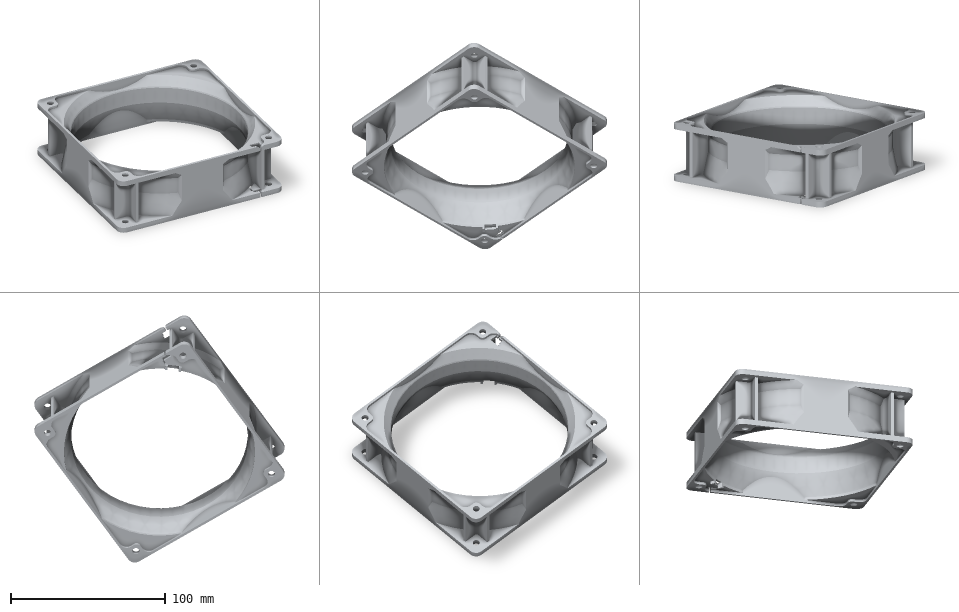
import cadquery as cq
import math

side = 120.0
height = 38.5
half = side / 2
margin = 0.1
corner_radius = 5.0
flange_thickness = 3.6
flange_top = height - flange_thickness

rim = 1.5
recess_depth = 1.8
inner_half = half - rim
recess_notch = 12.0
notch_inner_radius = 5.0
notch_outer_radius = 3.0

hole_pitch = 105.0
hole_diameter = 4.5

throat_radius = 57.5
throat_bottom = 18.6
throat_top = 29.8
lead_radius = 57.8
lead_top = 30.6
top_mouth_radius = 62.2
bottom_mouth_radius = 62.0

duct_radius = 60.6
duct_bottom_radius = 63.8
duct_top_radius = 63.1

panel_half_width = 15.0
panel_depth = 4.8

post_inner = 47.0
post_outer = 45.0
post_end = 57.0
post_inner_fillet = 1.9
post_outer_fillet = 5.0
web_thickness = 3.0
web_half_width = web_thickness / 2
web_start = 58.8

slot_inner_x = 52.5
slot_outer_x = 57.6
slot_low_y = 39.1
slot_high_y = 45.1
step_end_x = 55.0
step_low_y = 38.4
gap_low_y = 42.6
gap_high_y = 43.7
gap_round = 1.8
gap_chamfer = 2.5

tab_end_x = 55.5
tab_low_y = 39.6

notch_angle = 41.1
notch_width = 7.3
notch_reach = 65.0
notch_start = 57.6
guide_wall = 1.5


def box(x_low, x_high, y_low, y_high, z_low, z_high):
    """Box between the given limits."""
    size = (x_high - x_low, y_high - y_low, z_high - z_low)
    return cq.Workplane("XY").box(*size, centered=False).translate((x_low, y_low, z_low))


def square_plate(half_width, z_low, z_high):
    return box(-half_width, half_width, -half_width, half_width, z_low, z_high)


def revolved(profile):
    """Solid of revolution about Z from (radius, z) points."""
    points = [(0, profile[0][1])] + profile + [(0, profile[-1][1])]
    return cq.Workplane("XZ").polyline(points).close().revolve(360, (0, 0, 0), (0, 1, 0))


def four_times(solid):
    """The solid repeated at every quarter turn."""
    ring = solid
    for turn in range(1, 4):
        ring = ring.union(solid.rotate((0, 0, 0), (0, 0, 1), 90 * turn))
    return ring


def flange(z_low):
    plate = square_plate(half, z_low, z_low + flange_thickness)
    return plate.edges("|Z").fillet(corner_radius)


def duct():
    profile = [
        (duct_bottom_radius, flange_thickness),
        (duct_radius, throat_bottom),
        (duct_radius, throat_top),
        (duct_top_radius, flange_top),
    ]
    return revolved(profile).intersect(square_plate(half, 0, height))


def side_panels():
    base_half_width = panel_half_width + panel_depth
    outline = [
        (-panel_half_width, half),
        (panel_half_width, half),
        (base_half_width, half - panel_depth),
        (-base_half_width, half - panel_depth),
    ]
    return four_times(cq.Workplane("XY").polyline(outline).close().extrude(height))


def corner_posts():
    angle = box(post_outer, post_end, post_outer, post_end, flange_thickness, flange_top)
    opening = box(post_inner, half, post_inner, half, 0, height).edges("|Z and <X and <Y")
    opening = opening.fillet(post_inner_fillet)
    web_end = post_inner * math.sqrt(2)
    web = box(web_start, web_end, -web_half_width, web_half_width, flange_thickness, flange_top)
    web = web.rotate((0, 0, 0), (0, 0, 1), 45)
    web_foot = post_outer + web_half_width * math.sqrt(2)
    low = post_outer - margin
    high = web_foot + margin
    foot_edges = cq.selectors.BoxSelector((low, low, 0), (high, high, height))
    post = angle.union(web).edges("|Z").edges(foot_edges).fillet(post_outer_fillet)
    return four_times(post.cut(opening))


def bore():
    profile = [
        (bottom_mouth_radius, 0),
        (bottom_mouth_radius, flange_thickness),
        (throat_radius, throat_bottom),
        (throat_radius, throat_top),
        (lead_radius, lead_top),
        (top_mouth_radius, height - recess_depth),
        (top_mouth_radius, height),
    ]
    return revolved(profile).intersect(square_plate(inner_half, 0, height))


def recess(z_low):
    """Square pocket that steps in around each mounting hole with rounded corners."""
    pocket = square_plate(inner_half, z_low, z_low + recess_depth)
    island_edge = half - recess_notch
    island = box(island_edge, half, island_edge, half, z_low, z_low + recess_depth)
    pocket = pocket.cut(four_times(island))
    reach = island_edge + margin
    inner_corners = cq.selectors.BoxSelector((-reach, -reach, 0), (reach, reach, height))
    pocket = pocket.edges("|Z").edges(inner_corners).fillet(notch_outer_radius)
    outer_corners = pocket.edges("|Z").edges(">X or <X or >Y or <Y")
    return outer_corners.fillet(notch_inner_radius)


def mounting_holes():
    centres = cq.Workplane("XY").rect(hole_pitch, hole_pitch, forConstruction=True).vertices()
    return centres.circle(hole_diameter / 2).extrude(height)


def edge_gap(z_low):
    """Narrow slit through the flange from the cable opening to the side of the frame."""
    return box(slot_outer_x, half, gap_low_y, gap_high_y, z_low, z_low + flange_thickness)


def top_cable_slot():
    opening = box(slot_inner_x, slot_outer_x, slot_low_y, slot_high_y, flange_top, height)
    step = box(slot_inner_x, step_end_x, step_low_y, slot_low_y, flange_top, height)
    rim_bottom = height - recess_depth
    funnel = (
        cq.Workplane("YZ")
        .moveTo(gap_low_y, height)
        .lineTo(gap_low_y - gap_chamfer, height)
        .lineTo(gap_low_y, rim_bottom)
        .lineTo(gap_high_y, rim_bottom)
        .radiusArc((gap_high_y + gap_round, height), gap_round)
        .close()
        .extrude(half)
        .intersect(box(inner_half, half, 0, half, 0, height))
    )
    return opening.union(step).union(edge_gap(flange_top)).union(funnel)


def bottom_cable_slot():
    opening = box(tab_end_x, slot_outer_x, slot_low_y, slot_high_y, 0, flange_thickness)
    below_tab = box(slot_inner_x, tab_end_x, step_low_y, tab_low_y, 0, flange_thickness)
    return opening.union(below_tab).union(edge_gap(0))


def radial_strip(width, z_high):
    """Bar along the notch direction, across the wall of the lower mouth."""
    strip = box(notch_start, notch_reach, -width / 2, width / 2, 0, z_high)
    return strip.rotate((0, 0, 0), (0, 0, 1), notch_angle)


def cable_guides():
    return radial_strip(notch_width + 2 * guide_wall, recess_depth)


result = (
    flange(0)
    .union(flange(flange_top))
    .union(duct())
    .union(side_panels())
    .union(corner_posts())
    .cut(recess(height - recess_depth))
    .cut(recess(0))
    .union(cable_guides())
    .cut(radial_strip(notch_width, flange_thickness))
    .cut(bore())
    .cut(mounting_holes())
    .cut(top_cable_slot())
    .cut(bottom_cable_slot())
)